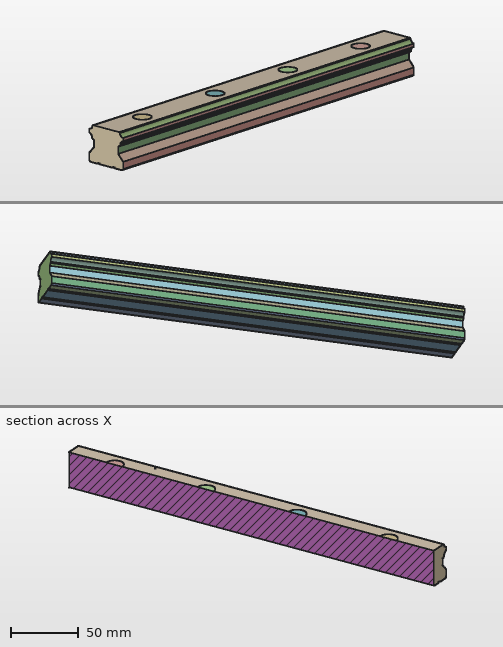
import cadquery as cq

rail_width = 34.0
rail_length = 320.0
rail_height = 29.0

head_top_width = 26.2
head_chamfer = 0.6
lip_top_z = 25.3
lip_bottom_z = 22.7
upper_track_sag = 0.8
lower_track_sag = 0.5
lower_track_width = 28.2
lower_track_z = 20.0
shoulder_z = 18.9

neck_width = 24.4
neck_top_z = 17.5
foot_slope_top_z = 12.0
foot_slope_bottom_z = 6.8
foot_chamfer = 1.2

groove_offset = 7.5
groove_width = 1.8
groove_depth = 0.5

hole_pitch = 80.0
hole_count = 4
cap_diameter = 14.0
cap_recess = 0.1


def bulge_point(start, end, sag):
    """Middle point of an arc from start to end, bent to the left of its direction of travel."""
    dx = end[0] - start[0]
    dz = end[1] - start[1]
    chord = (dx * dx + dz * dz) ** 0.5
    middle_x = (start[0] + end[0]) / 2 - sag * dz / chord
    middle_z = (start[1] + end[1]) / 2 + sag * dx / chord
    return middle_x, middle_z


def make_rail():
    """Half of the cross-section, mirrored about the centre plane and extruded along Y."""
    half_width = rail_width / 2
    upper_track_start = (half_width, lip_top_z)
    upper_track_end = (head_top_width / 2 + head_chamfer, rail_height - head_chamfer)
    lower_track_start = (lower_track_width / 2, lower_track_z)
    lower_track_end = (half_width, lip_bottom_z)
    half_section = (
        cq.Workplane("XZ", origin=(0, rail_length / 2, 0))
        .moveTo(0, 0)
        .lineTo(half_width - foot_chamfer, 0)
        .lineTo(half_width, foot_chamfer)
        .lineTo(half_width, foot_slope_bottom_z)
        .lineTo(neck_width / 2, foot_slope_top_z)
        .lineTo(neck_width / 2, neck_top_z)
        .lineTo(lower_track_width / 2, shoulder_z)
        .lineTo(*lower_track_start)
        .threePointArc(bulge_point(lower_track_start, lower_track_end, lower_track_sag), lower_track_end)
        .lineTo(*upper_track_start)
        .threePointArc(bulge_point(upper_track_start, upper_track_end, upper_track_sag), upper_track_end)
        .lineTo(head_top_width / 2, rail_height)
        .lineTo(0, rail_height)
        .close()
    )
    half_rail = half_section.extrude(rail_length)
    return half_rail.union(half_rail.mirror("YZ")).clean()


def cut_underside_grooves(rail):
    """A narrow groove runs the full length on each side of the centre plane."""
    for side in (-1, 1):
        groove = cq.Workplane("XY").center(side * groove_offset, 0).rect(groove_width, rail_length)
        rail = rail.cut(groove.extrude(groove_depth))
    return rail


def cut_cap_recesses(rail):
    """Each bolt hole is closed by a cap that sits just below the top face."""
    caps = (
        cq.Workplane("XY", origin=(0, 0, rail_height))
        .rarray(1, hole_pitch, 1, hole_count)
        .circle(cap_diameter / 2)
        .extrude(-cap_recess)
    )
    return rail.cut(caps)


result = make_rail()
result = cut_underside_grooves(result)
result = cut_cap_recesses(result)